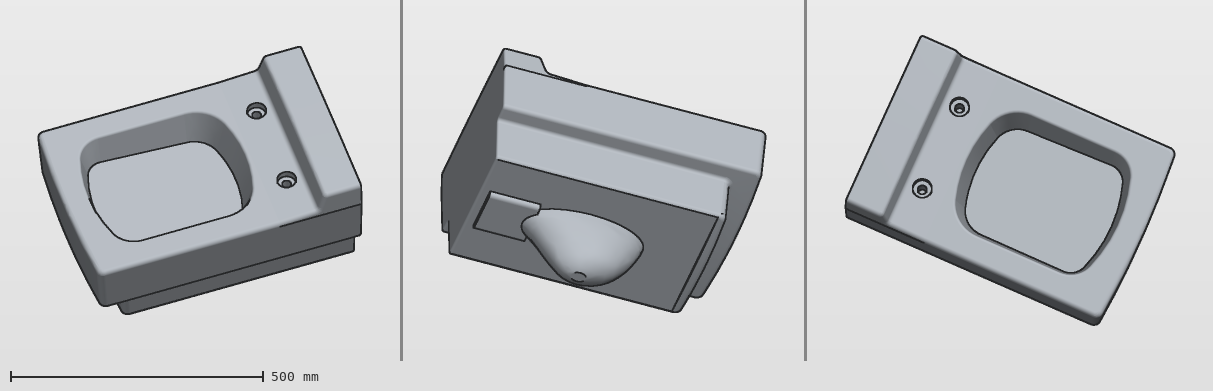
import cadquery as cq
import math


WIDTH = 374.13
LENGTH = 560.0
HEIGHT = 404.97

SEAM_Z = 345.5
RIM_Z = 354.5
RIM_REAR_Z = 359.5
RIM_RISE_Y = -172.0
UPPER_FLOOR_Z = 231.0
UPPER_BELLY = 6.5
UPPER_FLOOR_WIDTH = 364.0
UPPER_FRONT_DRAFT = 4.0
UPPER_CORNER_RADIUS = 14.0
FRONT_SAG = 8.5
EDGE_RADIUS = 9.0
WALL_EDGE_RADIUS = 5.0

LEDGE_WIDTH = 368.0
LEDGE_CROWN = 3.0
LEDGE_DEPTH = 78.0
LEDGE_FOOT_DEPTH = 92.0
LEDGE_FOOT_RADIUS = 10.0
KEEL_DEPTH = 20.0
KEEL_INSET = 12.0

LOWER_LENGTH = 495.0
LOWER_TOP_WIDTH = 293.0
LOWER_FLOOR_WIDTH = 281.0
LOWER_FLOOR_Z = 125.0
LOWER_BELLY = 5.5
LOWER_FRONT_DRAFT = 3.5
LOWER_CORNER_RADIUS = 14.0
LOWER_OVERLAP = 30.0
FRONT_LIP_Y = -467.0
JUNCTION_RADIUS = 8.0

BOWL_HALF_WIDTH = 133.5
BOWL_SIDE_REAR_Y = -262.0
BOWL_SIDE_FRONT_Y = -442.0
BOWL_REAR_REACH = 82.0
BOWL_FRONT_REACH = 66.5
BOWL_REAR_RADIUS = 72.0
BOWL_FRONT_RADIUS = 53.0
BOWL_DRAFT = 15.0
BOWL_FLOOR_REAR_Y = -205.0
BOWL_FLOOR_REAR_Z = 279.0
BOWL_FLOOR_SLOPE = 3.5
BOWL_EDGE_RADIUS = 6.0

HINGE_X = 90.0
HINGE_Y = -125.0
HINGE_COUNTERBORE = 38.0
HINGE_COUNTERBORE_DEPTH = 17.0
HINGE_BORE = 18.0
HINGE_DEPTH = 60.0

PAD_WIDTH = 100.0
PAD_REAR_Y = -19.0
PAD_FRONT_Y = -125.0
PAD_FLOOR_Z = 114.0
PAD_EDGE_RADIUS = 9.0
TRAP_TOP_Z = 140.0
TRAP_SECTIONS = [
    (TRAP_TOP_Z, -100.0, -362.0, 59.0),
    (112.0, -106.0, -353.0, 57.5),
    (84.0, -131.0, -340.0, 56.0),
    (38.0, -161.5, -309.0, 46.0),
    (8.0, -187.0, -266.0, 26.0),
    (0.0, -206.0, -238.0, 12.0),
]


def bellied_section(top_z, top_width, floor_z, floor_width, belly, length):
    """Drafted XZ section with a bulging underside, extruded from the wall to the front."""
    return (
        cq.Workplane("XZ")
        .moveTo(-top_width / 2, top_z)
        .lineTo(-floor_width / 2, floor_z)
        .threePointArc((0, floor_z - belly), (floor_width / 2, floor_z))
        .lineTo(top_width / 2, top_z)
        .close()
        .extrude(length)
    )


def bowed_front(length, pivot_z, draft):
    """Large cylinder whose side bows the front in plan and leans back below pivot_z."""
    radius = ((WIDTH / 2) ** 2 + FRONT_SAG**2) / (2 * FRONT_SAG)
    cylinder = (
        cq.Workplane("XY")
        .circle(radius)
        .extrude(2 * HEIGHT, both=True)
        .translate((0, radius - length, pivot_z))
    )
    return cylinder.rotate((0, -length, pivot_z), (1, -length, pivot_z), draft)


def rounded_block(section, front, corner_radius):
    """Section cut off by the bowed front, with rounded front corners and edges; the wall edges stay sharp."""
    block = section.intersect(front)
    block = block.faces("<Y").edges("not(>Z or <Z)").fillet(corner_radius)
    return block.edges("not(>Y)").fillet(EDGE_RADIUS)


def sharp_front_length(length, draft):
    """Length before the top edge of a drafted front is rounded down to the given length."""
    angle = math.radians(draft)
    return length + EDGE_RADIUS * (math.tan(angle) + 1 / math.cos(angle) - 1)


def upper_body():
    """Seat body, widest at the seam just below the rim edge."""
    side_slope = (WIDTH - UPPER_FLOOR_WIDTH) / (SEAM_Z - UPPER_FLOOR_Z)
    top_width = WIDTH + side_slope * (RIM_Z - SEAM_Z)
    length = sharp_front_length(LENGTH, UPPER_FRONT_DRAFT)
    section = bellied_section(
        RIM_Z, top_width, UPPER_FLOOR_Z, UPPER_FLOOR_WIDTH, UPPER_BELLY, 2 * LENGTH
    )
    front = bowed_front(length, RIM_Z, UPPER_FRONT_DRAFT)
    return rounded_block(section, front, UPPER_CORNER_RADIUS)


def lower_body():
    """Narrower body below, its bulging underside trimmed flat behind the front lip."""
    top_z = UPPER_FLOOR_Z + LOWER_OVERLAP
    section = bellied_section(
        top_z, LOWER_TOP_WIDTH, LOWER_FLOOR_Z, LOWER_FLOOR_WIDTH, LOWER_BELLY, 2 * LENGTH
    )
    front = bowed_front(LOWER_LENGTH, UPPER_FLOOR_Z, LOWER_FRONT_DRAFT)
    body = rounded_block(section, front, LOWER_CORNER_RADIUS)
    belly = cq.Workplane("XY").box(WIDTH, -FRONT_LIP_Y, LOWER_FLOOR_Z, centered=(True, False, False))
    return body.cut(belly.translate((0, FRONT_LIP_Y, 0)))


def ledge():
    """Crowned step along the wall, flaring out into a rear rim that slopes down towards the bowl."""
    half_seam = WIDTH / 2
    half_keel = half_seam - KEEL_INSET
    half_top = LEDGE_WIDTH / 2
    shoulder_z = HEIGHT - LEDGE_CROWN
    section = (
        cq.Workplane("XZ")
        .moveTo(-half_keel, SEAM_Z - KEEL_DEPTH)
        .lineTo(-half_seam, SEAM_Z)
        .lineTo(-half_top, shoulder_z)
        .threePointArc((0, HEIGHT), (half_top, shoulder_z))
        .lineTo(half_seam, SEAM_Z)
        .lineTo(half_keel, SEAM_Z - KEEL_DEPTH)
        .close()
        .extrude(LENGTH)
    )
    clear_z = 2 * HEIGHT
    profile = (
        cq.Workplane("YZ")
        .moveTo(0, 0)
        .lineTo(0, clear_z)
        .lineTo(-LEDGE_DEPTH, clear_z)
        .lineTo(-LEDGE_DEPTH, HEIGHT)
        .lineTo(-LEDGE_FOOT_DEPTH, RIM_REAR_Z)
        .lineTo(RIM_RISE_Y, RIM_Z)
        .lineTo(RIM_RISE_Y, 0)
        .close()
        .extrude(WIDTH, both=True)
    )
    block = section.intersect(profile)
    foot = cq.selectors.NearestToPointSelector((0, -LEDGE_FOOT_DEPTH, RIM_REAR_Z))
    block = block.edges(foot).fillet(LEDGE_FOOT_RADIUS)
    above_foot = cq.selectors.BoxSelector(
        (-WIDTH, -LEDGE_FOOT_DEPTH, RIM_REAR_Z + LEDGE_FOOT_RADIUS), (WIDTH, -WALL_EDGE_RADIUS, clear_z)
    )
    block = block.edges(above_foot).fillet(EDGE_RADIUS)
    wall_edges = cq.selectors.BoxSelector((-WIDTH, -1, SEAM_Z + 1), (WIDTH, 1, clear_z))
    return block.edges(wall_edges).fillet(WALL_EDGE_RADIUS)


def bowl_end_arcs(outline, reach, radius, start_y, side):
    """Rounded end from one side of the bowl to the other: corner arc, crown arc, corner arc.

    The crown arc is centred on X = 0 and tangent to both corner arcs. A negative reach points to the front.
    """
    depth = abs(reach)
    direction = reach / depth
    corner_x = BOWL_HALF_WIDTH - radius
    crown_radius = (corner_x**2 + depth**2 - radius**2) / (2 * (depth - radius))
    crown_center = depth - crown_radius
    tangent_angle = math.atan2(-crown_center, corner_x)
    mid_angle = tangent_angle / 2

    def corner_point(angle, sign):
        return (
            sign * (corner_x + radius * math.cos(angle)),
            start_y + direction * radius * math.sin(angle),
        )

    return (
        outline.threePointArc(corner_point(mid_angle, side), corner_point(tangent_angle, side))
        .threePointArc((0, start_y + reach), corner_point(tangent_angle, -side))
        .threePointArc(corner_point(mid_angle, -side), corner_point(0, -side))
    )


def bowl():
    """Cutter for the drafted bowl with its floor rising to the front."""
    outline = cq.Workplane("XY").workplane(offset=RIM_Z).moveTo(-BOWL_HALF_WIDTH, BOWL_SIDE_REAR_Y)
    outline = bowl_end_arcs(outline, BOWL_REAR_REACH, BOWL_REAR_RADIUS, BOWL_SIDE_REAR_Y, -1)
    outline = outline.lineTo(BOWL_HALF_WIDTH, BOWL_SIDE_FRONT_Y)
    outline = bowl_end_arcs(outline, -BOWL_FRONT_REACH, BOWL_FRONT_RADIUS, BOWL_SIDE_FRONT_Y, 1)
    cutter = outline.close().extrude(-(RIM_Z - UPPER_FLOOR_Z), taper=BOWL_DRAFT)
    above_floor = (
        cq.Workplane("XY")
        .box(2 * LENGTH, 2 * LENGTH, LENGTH, centered=(True, True, False))
        .rotate((0, 0, 0), (1, 0, 0), -BOWL_FLOOR_SLOPE)
        .translate((0, BOWL_FLOOR_REAR_Y, BOWL_FLOOR_REAR_Z))
    )
    return cutter.intersect(above_floor)


def hinge_holes():
    """Cutter for the two stepped seat hinge holes."""
    places = [(-HINGE_X, HINGE_Y), (HINGE_X, HINGE_Y)]
    rim = cq.Workplane("XY").workplane(offset=RIM_REAR_Z).pushPoints(places)
    bores = rim.circle(HINGE_BORE / 2).extrude(-HINGE_DEPTH)
    counterbores = rim.circle(HINGE_COUNTERBORE / 2).extrude(-HINGE_COUNTERBORE_DEPTH)
    return bores.union(counterbores)


def trap():
    """Smooth trap hanging below the lower body."""
    body = cq.Workplane("XY")
    previous_z = 0
    for z, rear, front, half_width in TRAP_SECTIONS:
        body = (
            body.workplane(offset=z - previous_z)
            .moveTo(0, (rear + front) / 2)
            .ellipse(half_width, (rear - front) / 2)
        )
        previous_z = z
    return body.loft()


def outlet_pad():
    """Flat pad behind the trap, rounded along its lower sides."""
    return (
        cq.Workplane("XY")
        .box(PAD_WIDTH, PAD_REAR_Y - PAD_FRONT_Y, TRAP_TOP_Z - PAD_FLOOR_Z, centered=(True, False, False))
        .translate((0, PAD_FRONT_Y, PAD_FLOOR_Z))
        .faces("<Z")
        .edges("|Y")
        .fillet(PAD_EDGE_RADIUS)
    )


def pan():
    """Whole part, with the edges rounded while the bodies are still simple."""
    upper = upper_body().cut(bowl())
    bowl_edge = cq.selectors.BoxSelector(
        (-BOWL_HALF_WIDTH - 1, BOWL_SIDE_FRONT_Y - BOWL_FRONT_REACH - 1, RIM_Z - 1),
        (BOWL_HALF_WIDTH + 1, BOWL_SIDE_REAR_Y + BOWL_REAR_REACH + 1, RIM_Z + 1),
    )
    upper = upper.edges(bowl_edge).fillet(BOWL_EDGE_RADIUS)
    bodies = upper.union(lower_body())
    junction = cq.selectors.BoxSelector(
        (-LOWER_TOP_WIDTH / 2 - 1, -LOWER_LENGTH - 1, UPPER_FLOOR_Z - UPPER_BELLY - 1),
        (LOWER_TOP_WIDTH / 2 + 1, -WALL_EDGE_RADIUS, UPPER_FLOOR_Z + 1),
    )
    bodies = bodies.edges(junction).fillet(JUNCTION_RADIUS)
    bodies = bodies.faces(">Y").edges().fillet(WALL_EDGE_RADIUS)
    bodies = bodies.union(ledge()).union(trap()).union(outlet_pad())
    return bodies.cut(hinge_holes())


result = pan()